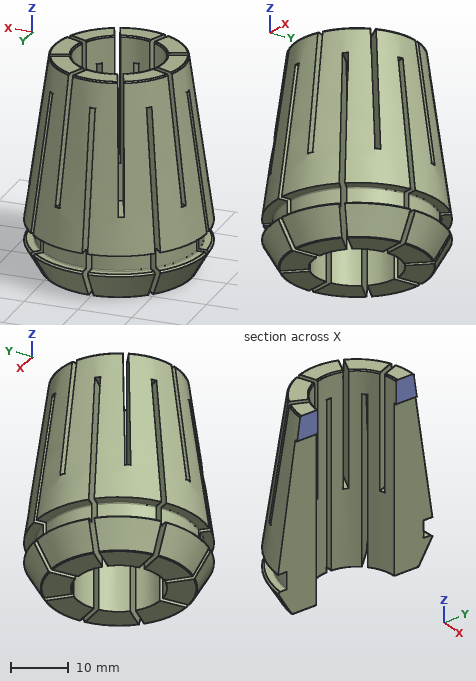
import cadquery as cq
import math

length = 40.0
max_diameter = 33.0
bore_diameter = 16.7
edge_break = 0.25

cone_half_angle = 8.0

groove_bottom_z = 5.5
groove_top_z = 9.05
groove_diameter = 29.2
groove_fillet = 0.15
collar_edge_z = 5.15
collar_top_diameter = 32.2
nose_break = 0.1
nose_half_angle = 30.0

slits_per_end = 8
slit_width = 1.0
lower_slit_top_z = 35.05
upper_slit_bottom_z = 16.0

max_radius = max_diameter / 2
bore_radius = bore_diameter / 2
radius_tolerance = 0.0005
slit_pitch = 360.0 / slits_per_end


def is_groove_corner(edge):
    """Tell whether a circular edge lies at the floor of the groove."""
    return math.isclose(edge.radius(), groove_diameter / 2, abs_tol=radius_tolerance)


def make_body():
    """Revolve the half section of the collet about the Z axis."""
    cone_slope = math.tan(math.radians(cone_half_angle))
    nose_slope = math.tan(math.radians(nose_half_angle))
    nose_radius = max_radius - collar_edge_z * nose_slope
    top_radius = max_radius - (length - groove_top_z) * cone_slope
    cone_end_radius = top_radius + edge_break * cone_slope
    half_section = [
        (bore_radius, 0),
        (nose_radius - nose_break, 0),
        (nose_radius + nose_break * nose_slope, nose_break),
        (max_radius, collar_edge_z),
        (collar_top_diameter / 2, groove_bottom_z),
        (groove_diameter / 2, groove_bottom_z),
        (groove_diameter / 2, groove_top_z),
        (max_radius, groove_top_z),
        (cone_end_radius, length - edge_break),
        (cone_end_radius - edge_break, length),
        (bore_radius + edge_break, length),
        (bore_radius, length - edge_break),
    ]
    profile = cq.Workplane("XZ").polyline(half_section).close()
    body = profile.revolve(360, (0, 0, 0), (0, 1, 0))
    groove_corners = body.edges("%CIRCLE").filter(is_groove_corner)
    return groove_corners.fillet(groove_fillet)


def cut_slits(body, bottom_z, top_z, first_angle):
    """Cut a ring of radial slits from the bore out through the wall."""
    blade = (
        cq.Workplane("XY")
        .workplane(offset=bottom_z)
        .rect(max_diameter, slit_width)
        .extrude(top_z - bottom_z)
        .translate((max_radius, 0, 0))
    )
    for index in range(slits_per_end):
        angle = first_angle + index * slit_pitch
        body = body.cut(blade.rotate((0, 0, 0), (0, 0, 1), angle))
    return body


result = make_body()
result = cut_slits(result, 0, lower_slit_top_z, 0)
result = cut_slits(result, upper_slit_bottom_z, length, slit_pitch / 2)